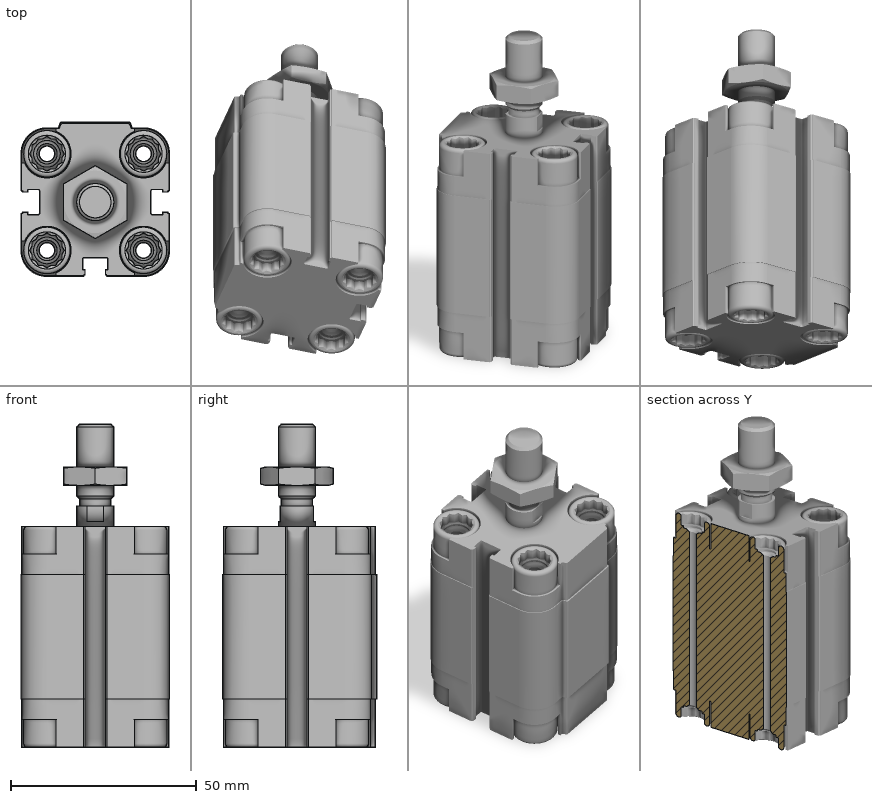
import cadquery as cq
import math

housing_height = 59.5
barrel_half_width = 20.0
screw_offset = 13.0
cap_height = 13.0
cap_inset = 0.2

barrel_pad_y = 21.5
cap_pad_y = 21.1
pad_base_half_width = 9.9
pad_top_half_width = 9.4
pad_edge_radius = 0.4

slot_floor_offset = 15.0
slot_lip_thickness = 1.85
slot_mouth_width = 5.4
slot_inner_width = 6.7
slot_mouth_radius = 0.4
slot_floor_radius = 0.3

head_diameter = 12.5
head_pocket_diameter = 13.0
head_height = 7.5
head_edge_radius = 1.0
pocket_side_offset = 10.5
socket_rim_diameter = 10.0
socket_rim_angle = 30.0
socket_across_flats = 8.1
socket_depth = 3.2
socket_step_diameter = 7.2
socket_step_depth = 0.6
countersink_diameter = 5.5
screw_hole_diameter = 4.13

rod_diameter = 10.0
thread_core_diameter = 8.47
rod_insertion = cap_height
shoulder_height = 5.5
rod_flat_width = 9.0
rod_flat_length = 4.2
undercut_diameter = thread_core_diameter
undercut_length = 1.9
overall_height = 87.0

nut_across_flats = 17.0
nut_thickness = 5.0
nut_base_z = housing_height + 11.0
nut_chamfer_angle = 15.0
nut_face_diameter = 16.8


def z_cylinder(diameter, z_start, z_end):
    return cq.Workplane("XY").workplane(offset=z_start).circle(diameter / 2).extrude(z_end - z_start)


def cone_frustum(bottom_diameter, top_diameter, z_start, z_end):
    return cq.Workplane(
        cq.Solid.makeCone(
            bottom_diameter / 2, top_diameter / 2, z_end - z_start, pnt=cq.Vector(0, 0, z_start)
        )
    )


def housing_section(z_start, height, inset, pad_y):
    """Rounded square with the pad and T-slots on its sides, its skin drawn in by the inset."""
    half = barrel_half_width - inset
    top_half = pad_top_half_width - inset
    base_half = pad_base_half_width - inset
    block = (
        cq.Workplane("XY").workplane(offset=z_start)
        .rect(2 * half, 2 * half).extrude(height)
        .edges("|Z").fillet(half - screw_offset)
    )
    pad = (
        cq.Workplane("XY").workplane(offset=z_start)
        .polyline([(-base_half, 0), (-base_half, half), (-top_half, pad_y),
                   (top_half, pad_y), (base_half, half), (base_half, 0)])
        .close().extrude(height)
        .edges("|Z and >Y").fillet(pad_edge_radius)
    )
    section = block.union(pad)
    slot = slot_cutter(z_start, height, half)
    for angle in (-90, 0, 90):
        section = section.cut(slot.rotate((0, 0, 0), (0, 0, 1), angle))
    return section


def slot_cutter(z_start, height, outer_half):
    """T-slot open through the -Y side at Y = -outer_half, with rounded mouth edges and floor corners."""
    mouth = slot_mouth_width / 2
    chamber = slot_inner_width / 2
    flare = mouth + slot_mouth_radius
    inner_lip_y = slot_lip_thickness - barrel_half_width
    arc_end_y = slot_mouth_radius - outer_half
    return (
        cq.Workplane("XY").workplane(offset=z_start)
        .moveTo(-flare, -outer_half)
        .radiusArc((-mouth, arc_end_y), slot_mouth_radius)
        .lineTo(-mouth, inner_lip_y)
        .lineTo(-chamber, inner_lip_y)
        .lineTo(-chamber, -slot_floor_offset)
        .lineTo(chamber, -slot_floor_offset)
        .lineTo(chamber, inner_lip_y)
        .lineTo(mouth, inner_lip_y)
        .lineTo(mouth, arc_end_y)
        .radiusArc((flare, -outer_half), slot_mouth_radius)
        .close().extrude(height)
        .edges("|Z and >Y").fillet(slot_floor_radius)
    )


def corner_pocket():
    """Open corner at (+X, +Y), cut down from the top of a cap at Z = 0."""
    corner_size = 2 * (barrel_half_width - pocket_side_offset)
    corner = (
        cq.Workplane("XY")
        .center(barrel_half_width, barrel_half_width)
        .rect(corner_size, corner_size).extrude(-head_height)
    )
    round_part = (
        cq.Workplane("XY")
        .center(screw_offset, screw_offset)
        .circle(head_pocket_diameter / 2).extrude(-head_height)
    )
    return corner.union(round_part)


def screw_head():
    """Solid head at (+X, +Y) with its rounded rim level with Z = 0."""
    return (
        cq.Workplane("XY")
        .center(screw_offset, screw_offset)
        .circle(head_diameter / 2).extrude(-head_height)
        .faces(">Z").edges().fillet(head_edge_radius)
    )


def socket_cutter():
    """Twelve-point socket below Z = 0 with a sloped rim, a round step and a countersunk hole."""
    hexagon_diameter = socket_across_flats / math.cos(math.pi / 6)
    star = cq.Workplane("XY").polygon(6, hexagon_diameter).extrude(-socket_depth)
    star = star.union(star.rotate((0, 0, 0), (0, 0, 1), 30))
    rim_slope = math.tan(math.radians(socket_rim_angle))
    rim_depth = (socket_rim_diameter - socket_across_flats) / 2 * rim_slope
    rim = cone_frustum(socket_across_flats, socket_rim_diameter, -rim_depth, 0)
    step_floor = -socket_depth - socket_step_depth
    step = z_cylinder(socket_step_diameter, step_floor, -socket_depth)
    countersink_depth = (countersink_diameter - screw_hole_diameter) / 2
    countersink = cone_frustum(
        screw_hole_diameter, countersink_diameter, step_floor - countersink_depth, step_floor
    )
    hole = z_cylinder(screw_hole_diameter, -housing_height / 2, step_floor)
    cutter = star.union(rim).union(step).union(countersink).union(hole)
    return cutter.translate((screw_offset, screw_offset, 0))


def at_all_corners(shape):
    """The shape, made for a top corner at Z = 0, copied to the four top and four bottom corners."""
    copies = []
    for quarter in range(4):
        turned = shape.rotate((0, 0, 0), (0, 0, 1), 90 * quarter)
        copies.append(turned.translate((0, 0, housing_height)))
        copies.append(turned.mirror("XY"))
    return copies


def make_housing():
    barrel_height = housing_height - 2 * cap_height
    body = housing_section(cap_height, barrel_height, 0, barrel_pad_y)
    for cap_base in (0, housing_height - cap_height):
        body = body.union(housing_section(cap_base, cap_height, cap_inset, cap_pad_y))

    for pocket in at_all_corners(corner_pocket()):
        body = body.cut(pocket)
    for head in at_all_corners(screw_head()):
        body = body.union(head)
    for socket in at_all_corners(socket_cutter()):
        body = body.cut(socket)

    rod_bore = z_cylinder(rod_diameter, housing_height - rod_insertion, housing_height)
    return body.cut(rod_bore)


def make_rod():
    shoulder_z = housing_height + shoulder_height
    thread_base_z = shoulder_z + undercut_length
    chamfer = (rod_diameter - thread_core_diameter) / 2
    shank = z_cylinder(rod_diameter, housing_height - rod_insertion, shoulder_z)
    for side in (-1, 1):
        flat = (
            cq.Workplane("XY").workplane(offset=shoulder_z - rod_flat_length)
            .center(0, side * (rod_flat_width + rod_diameter) / 2)
            .rect(rod_diameter, rod_diameter).extrude(rod_flat_length)
        )
        shank = shank.cut(flat)
    undercut = z_cylinder(undercut_diameter, shoulder_z, thread_base_z)
    thread_end = (
        z_cylinder(rod_diameter, thread_base_z, overall_height)
        .faces("<Z or >Z").chamfer(chamfer)
    )
    return shank.union(undercut).union(thread_end)


def make_nut():
    corner_diameter = nut_across_flats / math.cos(math.pi / 6)
    hexagon = (
        cq.Workplane("XY")
        .polygon(6, corner_diameter).extrude(nut_thickness)
        .rotate((0, 0, 0), (0, 0, 1), 30)
    )
    chamfer_slope = math.tan(math.radians(nut_chamfer_angle))
    chamfer_height = (corner_diameter - nut_face_diameter) / 2 * chamfer_slope
    upper_chamfer_z = nut_thickness - chamfer_height
    envelope = (
        cone_frustum(nut_face_diameter, corner_diameter, 0, chamfer_height)
        .union(z_cylinder(corner_diameter, chamfer_height, upper_chamfer_z))
        .union(cone_frustum(corner_diameter, nut_face_diameter, upper_chamfer_z, nut_thickness))
    )
    thread_hole = z_cylinder(rod_diameter, 0, nut_thickness)
    return hexagon.intersect(envelope).cut(thread_hole).translate((0, 0, nut_base_z))


housing = make_housing()
rod = make_rod()
nut = make_nut()

result = cq.Compound.makeCompound([housing.val(), rod.val(), nut.val()])